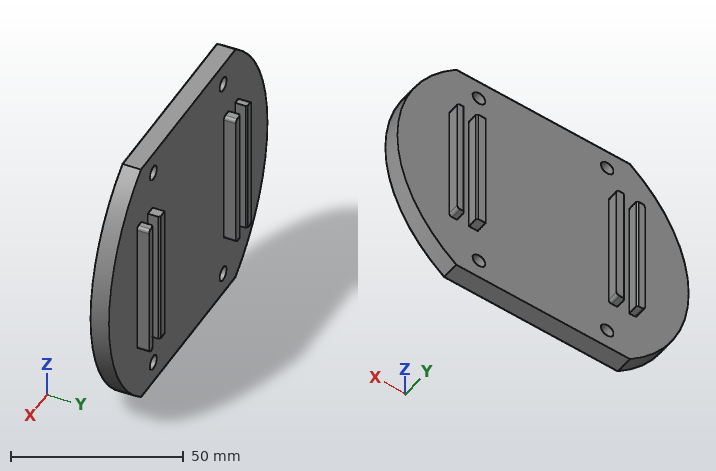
import cadquery as cq

plate_diameter = 104.6
plate_height = 84.0
plate_thickness = 6.0

hole_diameter = 4.5
hole_spacing_x = 46.0
hole_spacing_z = 69.9

rail_length = 45.0
rail_depth = 3.9
outer_rail_width = 2.8
inner_rail_width = 3.1
slot_width = 4.3
slot_center_x = 28.8
rail_corner_radius = 1.0
lead_in = 0.5


def make_plate():
    """Disc with flat top and bottom; its front face is at Y = 0 and its back towards +Y."""
    disc = cq.Workplane("XZ").circle(plate_diameter / 2).extrude(-plate_thickness)
    flats = cq.Workplane("XZ").rect(plate_diameter, plate_height).extrude(-plate_thickness)
    holes = (
        cq.Workplane("XZ")
        .rect(hole_spacing_x, hole_spacing_z, forConstruction=True)
        .vertices()
        .circle(hole_diameter / 2)
        .extrude(-plate_thickness)
    )
    return disc.intersect(flats).cut(holes)


def make_rail(slot_wall_x, direction, width, rounded=True):
    """Rail extending from its slot wall in the given X direction, with a lead-in chamfer on the slot edge."""
    center_x = slot_wall_x + direction * width / 2
    rail = (
        cq.Workplane("XZ", origin=(center_x, plate_thickness, 0))
        .rect(width, rail_length)
        .extrude(-rail_depth)
    )
    away_side = ">X" if direction > 0 else "<X"
    slot_side = "<X" if direction > 0 else ">X"
    if rounded:
        rail = rail.faces(away_side).edges("|Y").fillet(rail_corner_radius)
    return rail.faces(slot_side).edges(">Y").chamfer(lead_in)


result = make_plate()
for side in (-1, 1):
    outer_wall_x = side * (slot_center_x + slot_width / 2)
    inner_wall_x = side * (slot_center_x - slot_width / 2)
    result = result.union(make_rail(outer_wall_x, side, outer_rail_width))
    inner_rounded = side < 0
    result = result.union(make_rail(inner_wall_x, -side, inner_rail_width, inner_rounded))